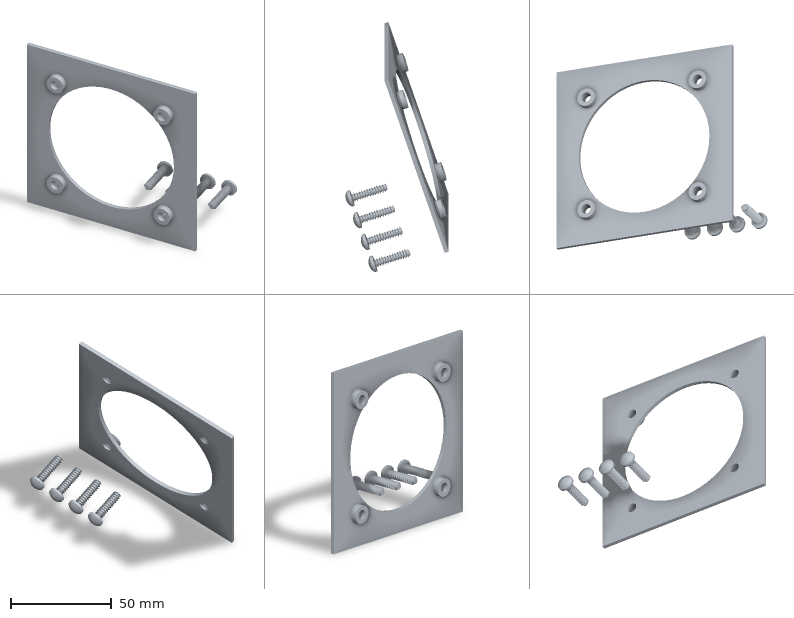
import cadquery as cq

plate_side = 94.5
plate_thickness = 2.0
opening_diameter = 70.4

boss_spacing = 60.0
boss_diameter = 9.4
boss_height = 3.15
boss_fillet = 0.5
boss_bore = 5.0

screw_count = 4
screw_spacing = 12.0
first_screw_x = 9.91
screw_z = -32.62
screw_tip_y = 20.0
shank_length = 18.1
core_radius = 1.53

head_radius = 4.1
rim_height = 1.32
head_height = 3.1

thread_radius = 2.25
thread_pitch = 1.34
thread_root_width = 0.5
thread_root_sink = 0.1
thread_turns = 13.5
thread_end_margin = 0.35


def make_plate():
    """Plate with its opening and four bosses with filleted feet, bored right through."""
    plate = (
        cq.Workplane("XZ")
        .rect(plate_side, plate_side)
        .circle(opening_diameter / 2)
        .extrude(-plate_thickness)
    )
    boss_profile = (
        cq.Workplane("XY")
        .moveTo(0, plate_thickness / 2)
        .lineTo(boss_diameter / 2 + boss_fillet, plate_thickness / 2)
        .lineTo(boss_diameter / 2 + boss_fillet, 0)
        .radiusArc((boss_diameter / 2, -boss_fillet), -boss_fillet)
        .lineTo(boss_diameter / 2, -boss_height)
        .lineTo(0, -boss_height)
        .close()
    )
    boss = boss_profile.revolve(360, (0, 0, 0), (0, 1, 0))
    bore = (
        cq.Workplane("XZ", origin=(0, -boss_height, 0))
        .circle(boss_bore / 2)
        .extrude(-(boss_height + plate_thickness))
    )
    for x in (-boss_spacing / 2, boss_spacing / 2):
        for z in (-boss_spacing / 2, boss_spacing / 2):
            plate = plate.union(boss.translate((x, 0, z)))
            plate = plate.cut(bore.translate((x, 0, z)))
    return plate


def make_thread():
    """Helical ridge along +Z, starting at +X, its root sunk slightly into the core."""
    root_radius = core_radius - thread_root_sink
    helix = cq.Wire.makeHelix(thread_pitch, thread_pitch * thread_turns, core_radius)
    return (
        cq.Workplane("XZ")
        .moveTo(root_radius, -thread_root_width / 2)
        .lineTo(thread_radius, 0)
        .lineTo(root_radius, thread_root_width / 2)
        .close()
        .sweep(cq.Workplane(obj=helix), isFrenet=True)
    )


def make_screw():
    """Screw along +Y with its tip at the origin."""
    screw_length = shank_length + head_height
    dome_height = head_height - rim_height
    dome_radius = (head_radius**2 + dome_height**2) / (2 * dome_height)
    body = (
        cq.Workplane("XY")
        .lineTo(core_radius, 0)
        .lineTo(core_radius, shank_length)
        .lineTo(head_radius, shank_length)
        .lineTo(head_radius, shank_length + rim_height)
        .radiusArc((0, screw_length), -dome_radius)
        .close()
        .revolve(360, (0, 0, 0), (0, 1, 0))
    )
    thread = (
        make_thread()
        .rotate((0, 0, 0), (0, 0, 1), 180)
        .rotate((0, 0, 0), (1, 0, 0), -90)
        .translate((0, thread_end_margin, 0))
    )
    return body.union(thread)


plate = make_plate()
screw = make_screw()
screws = []
for index in range(screw_count):
    screw_x = first_screw_x + index * screw_spacing
    screws.append(screw.translate((screw_x, screw_tip_y, screw_z)).val())

result = cq.Compound.makeCompound([plate.val(), *screws])